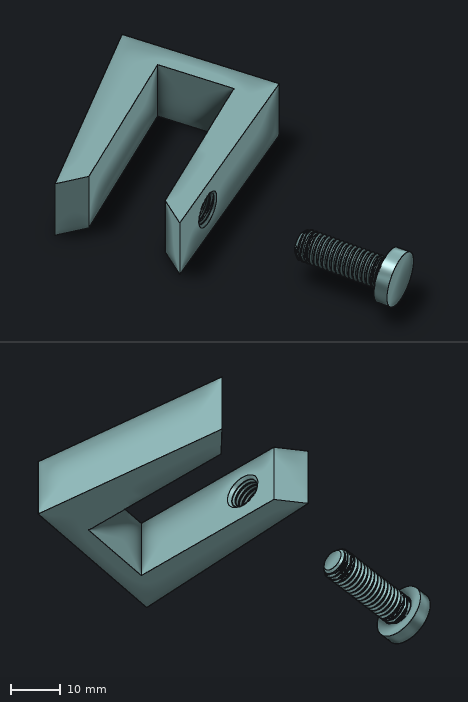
import cadquery as cq
import math

BRACKET_WIDTH = 35.0
BRACKET_DEPTH = 44.6
BRACKET_HEIGHT = 15.0
LEFT_TAPER = 4.65
RIGHT_TAPER = 2.55
SLOT_LEFT = 10.15
SLOT_RIGHT = 27.1
BACK_WALL = 5.0
LEAD_IN_LENGTH = 4.7

OVERALL_LENGTH = 77.45
HEAD_DIAMETER = 12.0
HEAD_THICKNESS = 3.0
SHANK_LENGTH = 20.0
TIP_CHAMFER = 1.1
SCREW_CREST_DIAMETER = 6.9
SCREW_ROOT_DIAMETER = 5.7
HEAD_END_Y = -34.55

PITCH = 1.0
THREAD_PHASE = 0.68
CREST_WIDTH = PITCH / 8
ROOT_WIDTH = PITCH / 4
HOLE_CREST_DIAMETER = 6.05
HOLE_ROOT_DIAMETER = 7.1
COUNTERSINK_DIAMETER = 8.0
TAP_OVERRUN = 3.1
RIDGE_EMBED = 0.1

TILT = math.atan(RIGHT_TAPER / BRACKET_DEPTH)
HEAD_END_X = OVERALL_LENGTH - HEAD_DIAMETER / 2 * math.sin(TILT)
AXIS_DIRECTION = cq.Vector(math.cos(TILT), -math.sin(TILT), 0)
HEAD_END = cq.Vector(HEAD_END_X, HEAD_END_Y, 0)
SCREW_TIP = HEAD_END - AXIS_DIRECTION * (SHANK_LENGTH + HEAD_THICKNESS)


def place_on_axis(shape, start):
    """Move a shape built along +Z from the origin onto the screw axis."""
    plane = cq.Plane(origin=start, xDir=(0, 0, 1), normal=AXIS_DIRECTION)
    return shape.val().moved(cq.Location(plane))


def thread_ridge(inner_diameter, outer_diameter, start, length):
    """Right-hand helical ridge around Z, sunk slightly into its core cylinder."""
    inner_radius = inner_diameter / 2
    outer_radius = outer_diameter / 2
    foot_radius = inner_radius - RIDGE_EMBED
    foot_half = (PITCH - ROOT_WIDTH) / 2
    crest_half = CREST_WIDTH / 2
    path = cq.Wire.makeHelix(PITCH, length, inner_radius)
    return (
        cq.Workplane("XZ")
        .polyline([
            (foot_radius, -foot_half),
            (outer_radius, -crest_half),
            (outer_radius, crest_half),
            (foot_radius, foot_half),
        ])
        .close()
        .sweep(cq.Workplane(path), isFrenet=True)
        .translate((0, 0, start))
    )


def make_bracket():
    lead_in_y = LEAD_IN_LENGTH - BRACKET_DEPTH
    body = (
        cq.Workplane("XY")
        .workplane(offset=-BRACKET_HEIGHT / 2)
        .polyline([
            (0, 0),
            (BRACKET_WIDTH, 0),
            (BRACKET_WIDTH - RIGHT_TAPER, -BRACKET_DEPTH),
            (SLOT_RIGHT, lead_in_y),
            (SLOT_RIGHT, -BACK_WALL),
            (SLOT_LEFT, -BACK_WALL),
            (SLOT_LEFT, lead_in_y),
            (LEFT_TAPER, -BRACKET_DEPTH),
        ])
        .close()
        .extrude(BRACKET_HEIGHT)
    )
    side_y_slope = RIGHT_TAPER / BRACKET_DEPTH
    outer_reach = (HEAD_END_X - BRACKET_WIDTH - side_y_slope * HEAD_END_Y) * math.cos(TILT)
    inner_reach = (HEAD_END_X - SLOT_RIGHT) / math.cos(TILT)
    outer_mouth = HEAD_END - AXIS_DIRECTION * outer_reach
    inner_mouth = HEAD_END - AXIS_DIRECTION * inner_reach
    tap_start = inner_mouth - AXIS_DIRECTION * TAP_OVERRUN
    tap_length = inner_reach - outer_reach + 2 * TAP_OVERRUN

    ridge = thread_ridge(HOLE_CREST_DIAMETER, HOLE_ROOT_DIAMETER, PITCH, tap_length - 2 * PITCH)
    drill = cq.Workplane("XY").circle(HOLE_CREST_DIAMETER / 2).extrude(tap_length)
    body = body.cut(place_on_axis(drill.union(ridge), tap_start))

    radius = COUNTERSINK_DIAMETER / 2
    for mouth, inward in ((outer_mouth, AXIS_DIRECTION * -1), (inner_mouth, cq.Vector(1, 0, 0))):
        body = body.cut(cq.Workplane(cq.Solid.makeCone(radius, 0, radius, mouth, inward)))
    return body


def make_screw():
    crest_radius = SCREW_CREST_DIAMETER / 2
    ridge_start = (THREAD_PHASE - 2) * PITCH
    ridge_length = SHANK_LENGTH + HEAD_THICKNESS / 2 - ridge_start
    ridge = thread_ridge(SCREW_ROOT_DIAMETER, SCREW_CREST_DIAMETER, ridge_start, ridge_length)
    core_start = ridge_start - PITCH
    core = (
        cq.Workplane("XY").workplane(offset=core_start)
        .circle(SCREW_ROOT_DIAMETER / 2)
        .extrude(SHANK_LENGTH + HEAD_THICKNESS / 2 - core_start)
    )
    tip_radius = crest_radius - TIP_CHAMFER
    tip_waste = (
        cq.Workplane("XZ")
        .polyline([
            (0, core_start - PITCH),
            (SCREW_CREST_DIAMETER, core_start - PITCH),
            (SCREW_CREST_DIAMETER, SCREW_CREST_DIAMETER - tip_radius),
            (tip_radius, 0),
            (0, 0),
        ])
        .close()
        .revolve(360, (0, 0, 0), (0, 1, 0))
    )
    head = (
        cq.Workplane("XY").workplane(offset=SHANK_LENGTH)
        .circle(HEAD_DIAMETER / 2).extrude(HEAD_THICKNESS)
    )
    screw_upright = core.union(ridge).cut(tip_waste).union(head)
    return cq.Workplane(place_on_axis(screw_upright, SCREW_TIP)).solids()


bracket = make_bracket().solids()
screw = make_screw()
result = cq.Compound.makeCompound([bracket.val(), screw.val()])